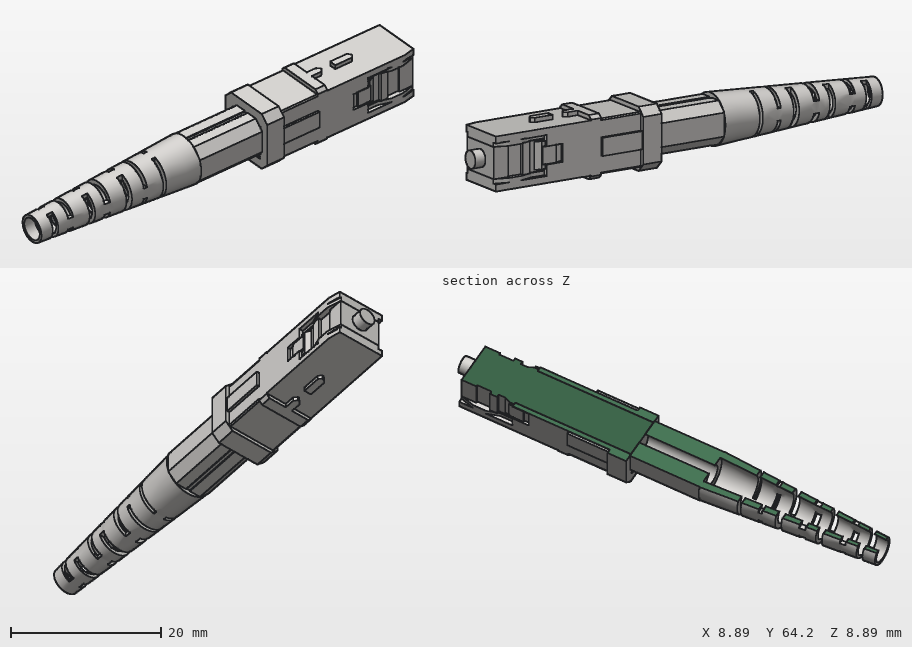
import cadquery as cq


total_length = 64.19
housing_front = 1.6
flange_front = 24.6
flange_rear = 27.5
cone_start = 38.15

flange_size = 8.89
flange_chamfer = 1.16
housing_width = 7.62
housing_height = housing_width
half_width = housing_width / 2
housing_wall = 0.8
lead_in_width = 0.4
lead_in_length = 1.8
band_front = 16.7
rear_front = 18.3
rear_edge_chamfer = 0.2
key_width = 1.1
key_chamfer = 0.4
key_start = 9.45
key_end = 12.7
rear_key_start = 14.65
rear_key_tip_chamfer = 0.45
side_pad_width = 8.36
side_pad_height = 2.52
stem_pocket_width = 5.75
stem_pocket_depth = 0.35

window_height = 4.44
window_end = 9.7
shelf_height = 5.66
shelf_depth = 0.6
shelf_ramp_up_end = 3.7
shelf_ramp_down_start = 5.65
shelf_ramp_down_end = 7.6
window_slot_end = 12.2

chassis_width = housing_width - 2 * housing_wall
front_pad_end = 3.9
front_pad_depth = 0.55
catch_start = 6.05
catch_end = 7.2
catch_depth = 0.35
ramp_start = 8.2
ramp_end = 9.1
ramp_depth = 0.4
ramp_height = 3.9
nub_height = 2.44
nub_end = 11.3
nub_depth = 0.15
stop_depth = 0.4

ferrule_diameter = 2.5
ferrule_length = 8.0

stem_width = 6.8
stem_height = 6.06
stem_chamfer = 1.38
stem_groove_width = 0.58
stem_groove_depth = 0.15
cone_start_radius = 3.68
cone_end_radius = 2.03
bore_start_radius = 2.6
bore_end_radius = 1.62
cable_hole_diameter = 3.0
web_width = 1.7
side_slots = [(43.85, 0.5), (49.45, 0.9), (55.45, 0.9), (61.45, 0.9)]
top_slots = [(46.9, 0.5), (52.9, 0.9), (58.9, 0.8)]


def block(width, height, start, end):
    """Box centred on the plug axis that spans two stations."""
    box = cq.Workplane("XY").box(width, end - start, height)
    return box.translate((0, -(start + end) / 2, 0))


def chamfered_block(width, height, chamfer, start, end):
    return block(width, height, start, end).edges("|Y").chamfer(chamfer)


def plan_prism(points, height):
    """Prism about Z = 0 from (x, station) points in plan."""
    outline = cq.Workplane("XY").polyline([(x, -station) for x, station in points]).close()
    return outline.extrude(height / 2, both=True)


def mirrored(shape):
    return shape.union(shape.mirror("YZ"))


def make_key(start, end, chamfer):
    """Rib through the housing that stands out at the top and the bottom."""
    return block(key_width, flange_size, start, end).edges("|Z and >Y").chamfer(chamfer)


def make_shelf_recess():
    """Recess in the -X side whose floor rises to the side face between its two ramps."""
    outer = -half_width
    floor = outer + shelf_depth
    front = plan_prism(
        [(outer, housing_front), (floor, housing_front), (outer, shelf_ramp_up_end)],
        shelf_height,
    )
    rear = plan_prism(
        [
            (outer, shelf_ramp_down_start),
            (floor, shelf_ramp_down_end),
            (floor, window_end),
            (outer, window_end),
        ],
        shelf_height,
    )
    return front.union(rear)


def make_housing():
    body = block(housing_width, housing_height, housing_front, rear_front)
    lead_in = plan_prism(
        [
            (half_width, housing_front),
            (half_width - lead_in_width, housing_front),
            (half_width, housing_front + lead_in_length),
        ],
        housing_height,
    )
    body = body.cut(lead_in)
    flange_outline = chamfered_block(
        flange_size, flange_size, flange_chamfer, band_front, flange_rear
    )
    band = flange_outline.intersect(block(housing_width, flange_size, band_front, rear_front))
    flange = flange_outline.intersect(
        block(flange_size, flange_size, flange_front, flange_rear)
    )
    rear = chamfered_block(
        housing_width, housing_height, rear_edge_chamfer, rear_front, flange_front
    )
    side_pads = block(side_pad_width, side_pad_height, rear_front, flange_front)
    body = body.union(band).union(rear).union(side_pads).union(flange)
    body = body.union(make_key(key_start, key_end, key_chamfer))
    body = body.union(make_key(rear_key_start, band_front, rear_key_tip_chamfer))

    cavity = block(chassis_width, window_height, housing_front, flange_rear)
    windows = block(housing_width, window_height, housing_front, window_end)
    slots = block(housing_width, side_pad_height, window_end, window_slot_end)
    pocket_height = stem_height / 2
    pocket = cq.Workplane("XY").box(
        stem_pocket_width, stem_pocket_depth, pocket_height, centered=(True, False, False)
    )
    pocket = pocket.translate((0, -flange_rear, -pocket_height))
    body = body.cut(pocket)
    body = body.cut(cavity).cut(windows).cut(slots)
    return body.cut(mirrored(make_shelf_recess()))


def make_ferrule():
    return cq.Workplane("XZ").circle(ferrule_diameter / 2).extrude(ferrule_length)


def make_chassis(ferrule):
    body = block(chassis_width, window_height, housing_front, flange_rear)
    front_pad = block(
        housing_width - 2 * front_pad_depth, window_height, housing_front, front_pad_end
    )
    catch = block(housing_width - 2 * catch_depth, window_height, catch_start, catch_end)
    nub = block(housing_width - 2 * nub_depth, nub_height, ramp_end, nub_end)
    stop = block(housing_width - 2 * stop_depth, nub_height, nub_end, window_slot_end)
    ramp = plan_prism(
        [
            (-chassis_width / 2, ramp_start),
            (-half_width + ramp_depth, ramp_end),
            (-half_width + ramp_depth, window_end),
            (-chassis_width / 2, window_end),
        ],
        ramp_height,
    )
    body = body.union(front_pad).union(catch).union(mirrored(ramp)).union(nub).union(stop)
    return body.cut(ferrule)


def make_cone(start_radius, end_radius):
    """Solid cone over the length of the tail."""
    profile = cq.Workplane("YZ").polyline(
        [
            (-cone_start, 0),
            (-cone_start, start_radius),
            (-total_length, end_radius),
            (-total_length, 0),
        ]
    )
    return profile.close().revolve(360, (0, 0), (1, 0))


def make_boot():
    stem = chamfered_block(stem_width, stem_height, stem_chamfer, flange_rear, cone_start)
    groove = block(stem_groove_width, stem_height, flange_rear, cone_start)
    groove_floor_height = stem_height - 2 * stem_groove_depth
    groove = groove.cut(block(stem_groove_width, groove_floor_height, flange_rear, cone_start))
    tail = make_cone(cone_start_radius, cone_end_radius)
    tail = tail.cut(make_cone(bore_start_radius, bore_end_radius))
    diameter = 2 * cone_start_radius
    for start, width in side_slots:
        slot = block(diameter, diameter, start, start + width)
        webs = block(web_width, diameter, start, start + width)
        tail = tail.cut(slot.cut(webs))
    for start, width in top_slots:
        slot = block(diameter, diameter, start, start + width)
        webs = block(diameter, web_width, start, start + width)
        tail = tail.cut(slot.cut(webs))
    cable_hole = cq.Workplane("XZ").circle(cable_hole_diameter / 2).extrude(total_length)
    return stem.cut(groove).union(tail).cut(cable_hole)


housing = make_housing()
ferrule = make_ferrule()
chassis = make_chassis(ferrule)
boot = make_boot()

result = cq.Compound.makeCompound([housing.val(), chassis.val(), ferrule.val(), boot.val()])